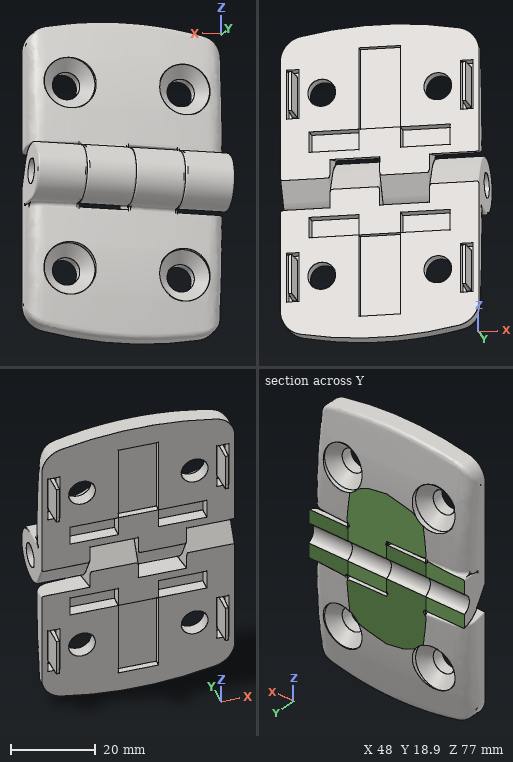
import cadquery as cq
import math


hinge_width = 48.0
half_width = hinge_width / 2
leaf_height = 38.5
end_arc_radius = 97.0
corner_radius = 6.0

crown_height = 8.05
crown_peak_z = 12.0
crown_radius_x = 240.0
crown_radius_z = 120.0
crown_sweep_angle = 22.0
side_round_radius = 4.0
end_round_radius = 1.4

knuckle_count = 4
knuckle_width = hinge_width / knuckle_count
knuckle_radius = 7.0
axis_height = 8.9
knuckle_slope_angle = 60.0
knuckle_fillet = 0.5
knuckle_side_root_height = 2.8
knuckle_root_height = 7.0
root_fillet = 0.8
pin_hole_diameter = 6.0

clearance_start_z = 5.93
clearance_slope_angle = 13.0
clearance_edge_fillet = 0.5

screw_x = 14.0
screw_z = 22.5
screw_hole_diameter = 6.6
screw_head_diameter = 12.5
countersink_start = 3.3
countersink_angle = 90.0

tongue_x = 21.0
tongue_width = 1.15
tongue_length = 10.0
tongue_projection = 3.0
tongue_draft = 2.0
slot_width = 3.0
slot_length = 12.0
slot_depth = 3.0

pocket_half_width = 5.0
pocket_bottom_z = 13.0
pocket_top_z = 33.0
pocket_depth = 1.6
side_pocket_outer_x = 17.0
side_pocket_bottom_z = 8.0
side_pocket_depth = 3.0

over_height = 20.0
select_margin = 0.05


def box(x_range, y_range, z_range):
    """Axis-aligned box between the given limits."""
    size = [limits[1] - limits[0] for limits in (x_range, y_range, z_range)]
    return cq.Workplane("XY").box(*size, centered=False).translate((x_range[0], y_range[0], z_range[0]))


def prism_along_x(profile, x_range):
    """Extrude a YZ profile between two X positions."""
    return profile.extrude(x_range[1] - x_range[0]).translate((x_range[0], 0, 0))


def knuckle_spans(first):
    """X limits of every second knuckle position, starting with the given index."""
    starts = [index * knuckle_width - half_width for index in range(first, knuckle_count, 2)]
    return [(start, start + knuckle_width) for start in starts]


def leaf_outline_prism():
    """Leaf outline with a bowed end and rounded corners."""
    end_drop = end_arc_radius - math.sqrt(end_arc_radius**2 - half_width**2)
    end_corner_z = leaf_height - end_drop
    return (
        cq.Workplane("XZ")
        .moveTo(-half_width, 0)
        .lineTo(half_width, 0)
        .lineTo(half_width, end_corner_z)
        .threePointArc((0, leaf_height), (-half_width, end_corner_z))
        .close()
        .extrude(-over_height)
        .faces(">Z")
        .edges("|Y")
        .fillet(corner_radius)
    )


def crowned_slab():
    """Slab under a surface curved both ways, with rounded long sides."""
    edge_height = crown_height - (crown_radius_x - math.sqrt(crown_radius_x**2 - half_width**2))
    axis_y = crown_height - crown_radius_z
    slab = (
        cq.Workplane("XY")
        .moveTo(-half_width, -over_height)
        .lineTo(half_width, -over_height)
        .lineTo(half_width, edge_height)
        .threePointArc((0, crown_height), (-half_width, edge_height))
        .close()
        .revolve(2 * crown_sweep_angle, (0, axis_y), (1, axis_y))
        .rotate((0, axis_y, 0), (1, axis_y, 0), -crown_sweep_angle)
        .translate((0, 0, crown_peak_z))
    )
    return slab.faces(">Y").edges("<X or >X").fillet(side_round_radius)


def leaf_plate():
    """Crowned leaf body with its free end rounded over."""
    mounting_side = box((-half_width, half_width), (0, over_height), (0, 2 * leaf_height))
    plate = leaf_outline_prism().intersect(crowned_slab()).intersect(mounting_side)
    return plate.faces(">Z").edges(">Y").fillet(end_round_radius)


def clearance(x_range):
    """Wedge that leaves room for one knuckle of the other leaf."""
    top_z = clearance_start_z + over_height * math.tan(math.radians(clearance_slope_angle))
    corners = [(0, -over_height), (0, clearance_start_z), (over_height, top_z), (over_height, -over_height)]
    return prism_along_x(cq.Workplane("YZ").polyline(corners).close(), x_range)


def round_clearance_edges(leaf):
    """Round the edges where the clearances meet the crowned surface."""
    lower_corner = (select_margin - knuckle_width, knuckle_root_height - 1, knuckle_radius + select_margin)
    upper_corner = (half_width + 1, over_height, knuckle_radius + knuckle_width / 2)
    return leaf.edges(cq.selectors.BoxSelector(lower_corner, upper_corner)).fillet(clearance_edge_fillet)


def knuckle(x_range):
    """Round knuckle with a flat top and a sloped underside running into the leaf."""
    angle = math.radians(knuckle_slope_angle)
    tangent_y = axis_height - knuckle_radius * math.sin(angle)
    tangent_z = -knuckle_radius * math.cos(angle)
    foot_z = tangent_z + tangent_y * math.tan(angle)
    middle_y = axis_height - knuckle_radius * math.sin(angle / 2)
    middle_z = -knuckle_radius * math.cos(angle / 2)
    profile = (
        cq.Workplane("YZ")
        .moveTo(0, knuckle_radius)
        .lineTo(axis_height, knuckle_radius)
        .threePointArc((axis_height + knuckle_radius, 0), (axis_height, -knuckle_radius))
        .threePointArc((middle_y, middle_z), (tangent_y, tangent_z))
        .lineTo(0, foot_z)
        .close()
    )
    body = prism_along_x(profile, x_range)
    body = body.faces("<X or >X").edges("not <Y").fillet(knuckle_fillet)
    pin_hole = cq.Workplane("YZ").center(axis_height, 0).circle(pin_hole_diameter / 2)
    body = body.cut(prism_along_x(pin_hole, x_range))

    root_z = (knuckle_radius - 2 * knuckle_fillet, knuckle_radius)
    inner_x = (max(x_range[0], side_round_radius - half_width), x_range[1])
    side_root = box(x_range, (0, knuckle_side_root_height), root_z)
    inner_root = box(inner_x, (0, knuckle_root_height), root_z)
    return body.union(side_root).union(inner_root)


def root_fillet_strip(x_range):
    """Concave fillet between the flat top of a knuckle and the crowned surface."""
    inner_range = (x_range[0] + knuckle_fillet, x_range[1] - knuckle_fillet)
    strip_top_z = knuckle_radius + 2 * root_fillet
    above_knuckle = box(inner_range, (0, over_height), (knuckle_radius, strip_top_z))
    base = box(inner_range, (0, axis_height), (0, knuckle_radius))
    corner = leaf_plate().intersect(above_knuckle).union(base)
    inside_corner = cq.selectors.BoxSelector(
        (-half_width, knuckle_side_root_height, knuckle_radius - select_margin),
        (half_width, axis_height - select_margin, knuckle_radius + select_margin),
        boundingbox=True,
    )
    corner = corner.edges(inside_corner).edges("not |X").fillet(root_fillet)
    return corner.intersect(above_knuckle)


def screw_holes():
    """Countersunk holes whose screw heads sit below the crowned surface."""
    shank_radius = screw_hole_diameter / 2
    head_radius = screw_head_diameter / 2
    cone_length = (head_radius - shank_radius) / math.tan(math.radians(countersink_angle / 2))
    profile = (
        cq.Workplane("XY")
        .lineTo(shank_radius, 0)
        .lineTo(shank_radius, countersink_start)
        .lineTo(head_radius, countersink_start + cone_length)
        .lineTo(head_radius, over_height)
        .lineTo(0, over_height)
        .close()
    )
    cutter = profile.revolve(360, (0, 0), (0, 1))
    return [cutter.translate((x, 0, screw_z)) for x in (-screw_x, screw_x)]


def add_tongues(leaf):
    """Cut each slot and stand its tapered tongue on the slot floor."""
    for x in (-tongue_x, tongue_x):
        slot = box(
            (x - slot_width / 2, x + slot_width / 2),
            (0, slot_depth),
            (screw_z - slot_length / 2, screw_z + slot_length / 2),
        )
        tongue = (
            cq.Workplane("XZ", origin=(x, slot_depth, screw_z))
            .rect(tongue_width, tongue_length)
            .extrude(slot_depth + tongue_projection, taper=tongue_draft)
        )
        leaf = leaf.cut(slot).union(tongue)
    return leaf


def pockets():
    """One tall central pocket and a deeper one on each side below it."""
    center = box((-pocket_half_width, pocket_half_width), (0, pocket_depth), (pocket_bottom_z, pocket_top_z))
    side = box(
        (pocket_half_width, side_pocket_outer_x),
        (0, side_pocket_depth),
        (side_pocket_bottom_z, pocket_bottom_z),
    )
    return [center, side, side.mirror("YZ")]


def hinge_leaf():
    """Complete upper leaf with its two knuckles."""
    leaf = leaf_plate()
    for span in knuckle_spans(1):
        leaf = leaf.cut(clearance(span))
    leaf = round_clearance_edges(leaf)
    for span in knuckle_spans(0):
        leaf = leaf.cut(box(span, (0, over_height), (0, knuckle_radius)))
    for span in knuckle_spans(0):
        leaf = leaf.union(knuckle(span)).union(root_fillet_strip(span))
    for cutter in screw_holes() + pockets():
        leaf = leaf.cut(cutter)
    return add_tongues(leaf)


upper_leaf = hinge_leaf()
lower_leaf = upper_leaf.rotate((0, 0, 0), (0, 1, 0), 180)

result = cq.Compound.makeCompound([upper_leaf.val(), lower_leaf.val()])